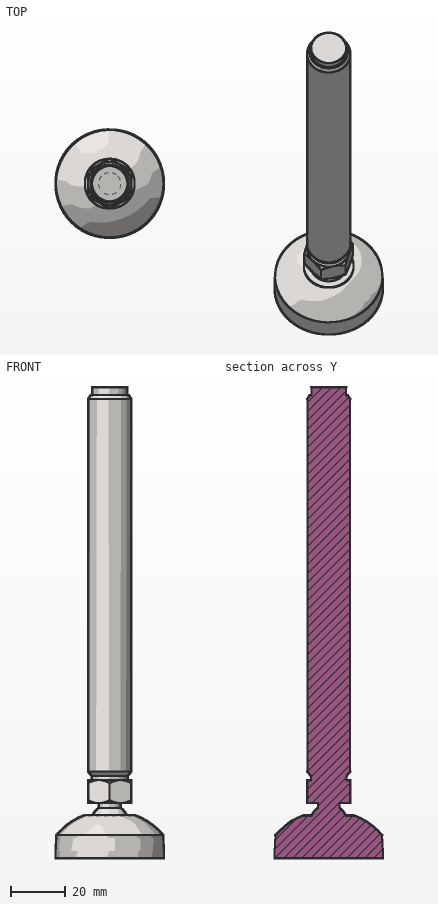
import cadquery as cq
import math

total_height = 173.2
pad_rim_top = 2.6
pad_wall_top = 7.3
dome_bottom = 8.5
dome_top = 16.0
ball_top_edge = 18.5
hex_bottom = 20.3
hex_top = 28.8
lower_neck_top = 30.3
rod_bottom = 31.9
rod_top = 168.9
tip_bottom = 170.3

pad_radius = 40.0 / 2
pad_upper_radius = 19.7
recess_radius = 9.2
recess_depth = 0.3
recess_floor = dome_top - recess_depth
dome_mid_radius = 15.0
dome_mid_height = 12.8

stem_radius = 8.1 / 2
ball_radius = 14.0 / 2
lower_neck_radius = 13.3 / 2
rod_radius = 16.0 / 2
rod_chamfer_radius = 14.0 / 2
tip_radius = 13.0 / 2

hex_across_flats = 16.0
hex_across_corners = hex_across_flats / math.cos(math.pi / 6)
hex_chamfer_height = 1.0


def make_foot_pad():
    """Tapered round pad with a domed top and a shallow recess around the stem."""
    profile = (
        cq.Workplane("XZ")
        .lineTo(pad_radius, 0)
        .lineTo(pad_radius, pad_rim_top)
        .lineTo(pad_upper_radius, pad_wall_top)
        .lineTo(pad_upper_radius, dome_bottom)
        .threePointArc((dome_mid_radius, dome_mid_height), (recess_radius, dome_top))
        .lineTo(recess_radius, recess_floor)
        .lineTo(0, recess_floor)
        .close()
    )
    return profile.revolve(360, (0, 0), (0, 1))


def make_spindle():
    """Ball seated in the pad, thin stem, necks and long chamfered rod, turned about Z."""
    ball_center = ball_top_edge - math.sqrt(ball_radius**2 - stem_radius**2)
    ball_mid = ball_radius / math.sqrt(2)
    profile = (
        cq.Workplane("XZ")
        .moveTo(0, ball_center)
        .lineTo(ball_radius, ball_center)
        .threePointArc((ball_mid, ball_center + ball_mid), (stem_radius, ball_top_edge))
        .lineTo(stem_radius, hex_top)
        .lineTo(lower_neck_radius, hex_top)
        .lineTo(lower_neck_radius, lower_neck_top)
        .lineTo(rod_radius, rod_bottom)
        .lineTo(rod_radius, rod_top)
        .lineTo(rod_chamfer_radius, tip_bottom)
        .lineTo(tip_radius, tip_bottom)
        .lineTo(tip_radius, total_height)
        .lineTo(0, total_height)
        .close()
    )
    return profile.revolve(360, (0, 0), (0, 1))


def make_hexagon():
    """Wrench hexagon with its corners coned off at both ends."""
    height = hex_top - hex_bottom
    prism = (
        cq.Workplane("XY")
        .workplane(offset=hex_bottom)
        .transformed(rotate=(0, 0, 90))
        .polygon(6, hex_across_corners)
        .extrude(height)
    )
    corner_depth = (hex_across_corners - hex_across_flats) / 2
    envelope = (
        cq.Workplane("XY")
        .workplane(offset=hex_bottom)
        .circle(hex_across_corners / 2)
        .extrude(height)
        .faces("<Z or >Z")
        .chamfer(hex_chamfer_height, corner_depth)
    )
    return prism.intersect(envelope)


result = make_foot_pad().union(make_spindle()).union(make_hexagon())